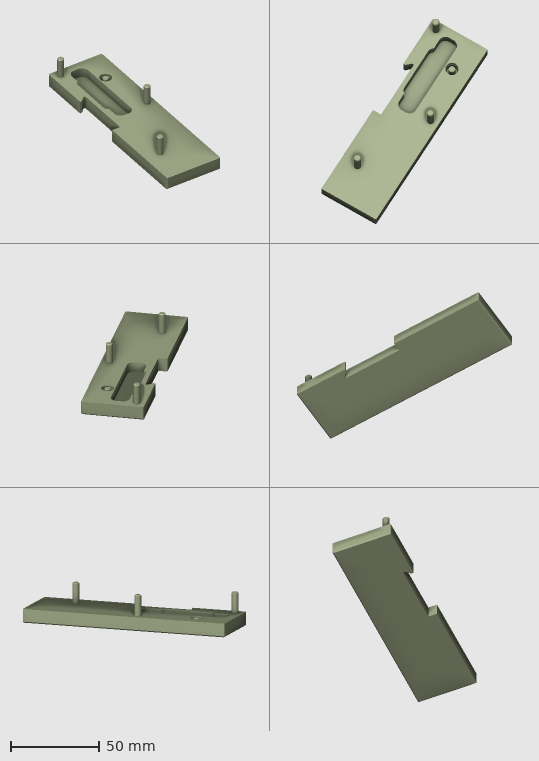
import cadquery as cq

plate_length = 121.6
plate_width = 36.2
plate_thickness = 8.0
corner_radius = 0.6
bottom_chamfer = 0.7

notch_left = 29.7
notch_right = 65.3
notch_depth = 5.4
hook_reach = 2.7
hook_tip_length = 1.3

pocket_left = 5.2
pocket_right = 56.9
pocket_front = 9.8
pocket_back = 20.8
pocket_radius = 4.0
pocket_depth = 6.0
widening_left = 14.6
widening_right = 48.2
widening_front = 8.0

recess_center = (20.7, 25.2)
recess_diameter = 7.4
recess_depth = 1.5
taper_depth = 0.7
bore_diameter = 6.7
bore_floor = plate_thickness - pocket_depth
post_diameter = 3.8
post_chamfer = 0.2

pin_diameter = 4.0
pin_height = 12.0
pin_chamfer = 0.5
pin_inset = 5.0
pin_centers = [
    (pin_inset, pin_inset),
    (54.0, plate_width - pin_inset),
    (99.0, 10.2),
]


def make_plate():
    """Rectangular plate with its corners and lower edges broken."""
    plate = cq.Workplane("XY").box(plate_length, plate_width, plate_thickness, centered=False)
    plate = plate.faces("<Z").edges("<X or >X or >Y").chamfer(bottom_chamfer)
    return plate.edges("|Z and (<X or >X)").fillet(corner_radius)


def make_notch():
    """Cutter for the front notch; a 45 degree slope leads under its hook."""
    hook_tip = notch_left + hook_reach
    return (
        cq.Workplane("XY")
        .moveTo(hook_tip, 0)
        .lineTo(hook_tip, hook_tip_length)
        .lineTo(notch_left, hook_tip_length + hook_reach)
        .lineTo(notch_left, notch_depth)
        .lineTo(notch_right, notch_depth)
        .lineTo(notch_right, 0)
        .close()
        .extrude(plate_thickness)
    )


def rounded_pocket(left, right, front, back):
    """Cutter with rounded corners that reaches down from the top face."""
    return (
        cq.Workplane("XY", origin=(left, front, plate_thickness - pocket_depth))
        .box(right - left, back - front, pocket_depth, centered=False)
        .edges("|Z")
        .fillet(pocket_radius)
    )


def make_recess():
    """Turned cutter: wide mouth, taper and narrower bore."""
    taper_top = plate_thickness - recess_depth
    profile = [
        (0, bore_floor),
        (bore_diameter / 2, bore_floor),
        (bore_diameter / 2, taper_top - taper_depth),
        (recess_diameter / 2, taper_top),
        (recess_diameter / 2, plate_thickness),
        (0, plate_thickness),
    ]
    recess = cq.Workplane("XZ").polyline(profile).close().revolve(360, (0, 0), (0, 1))
    return recess.translate((*recess_center, 0))


def make_pin(center, diameter, base, height, chamfer):
    """Upright round pin with a chamfered top."""
    pin = cq.Workplane("XY", origin=(*center, base)).circle(diameter / 2).extrude(height)
    return pin.faces(">Z").chamfer(chamfer)


result = make_plate().cut(make_notch())
result = result.cut(rounded_pocket(pocket_left, pocket_right, pocket_front, pocket_back))
result = result.cut(rounded_pocket(widening_left, widening_right, widening_front, pocket_back))

result = result.cut(make_recess())
result = result.union(make_pin(recess_center, post_diameter, bore_floor, pocket_depth, post_chamfer))

for center in pin_centers:
    result = result.union(make_pin(center, pin_diameter, plate_thickness, pin_height, pin_chamfer))